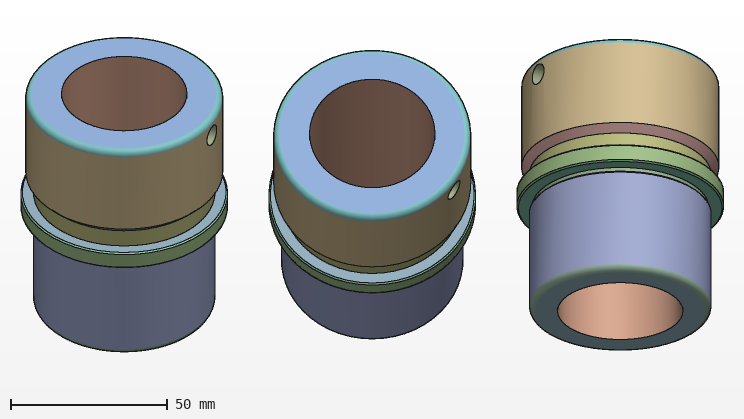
import cadquery as cq

total_height = 82.0
bore_radius = 20.0

head_radius = 31.5
head_bottom = 49.0
head_round = 2.0

shank_radius = 29.0
shank_round = 2.0
head_taper = head_radius - shank_radius

flange_radius = 33.0
flange_bottom = 37.0
flange_height = 6.0
flange_chamfer = 0.5
flange_top = flange_bottom + flange_height

groove_depth = 0.7
groove_radius = shank_radius - groove_depth
groove_width = 2.0
groove_bottom = flange_bottom - groove_width

hole_diameter = 6.8
hole_height = 76.0


def make_cylinder(radius, bottom, top):
    return cq.Workplane("XY").workplane(offset=bottom).circle(radius).extrude(top - bottom)


def make_shank():
    return make_cylinder(shank_radius, 0, head_bottom).faces("<Z").edges().fillet(shank_round)


def make_head():
    head = make_cylinder(head_radius, head_bottom, total_height)
    head = head.faces("<Z").edges().chamfer(head_taper)
    return head.faces(">Z").edges().fillet(head_round)


def make_flange():
    flange = make_cylinder(flange_radius, flange_bottom, flange_top)
    return flange.faces("<Z or >Z").edges().chamfer(flange_chamfer)


def make_groove_cutter():
    section = (
        cq.Workplane("XZ")
        .moveTo(shank_radius, groove_bottom)
        .lineTo(groove_radius, groove_bottom + groove_depth)
        .lineTo(groove_radius, flange_bottom)
        .lineTo(shank_radius, flange_bottom)
        .close()
    )
    return section.revolve(360, (0, 0, 0), (0, 1, 0))


def make_radial_hole():
    hole_plane = cq.Workplane("YZ").center(0, hole_height)
    return hole_plane.circle(hole_diameter / 2).extrude(head_radius)


shank = make_shank().cut(make_groove_cutter())
body = shank.union(make_head()).union(make_flange())
bore = make_cylinder(bore_radius, 0, total_height)
result = body.cut(bore).cut(make_radial_hole())